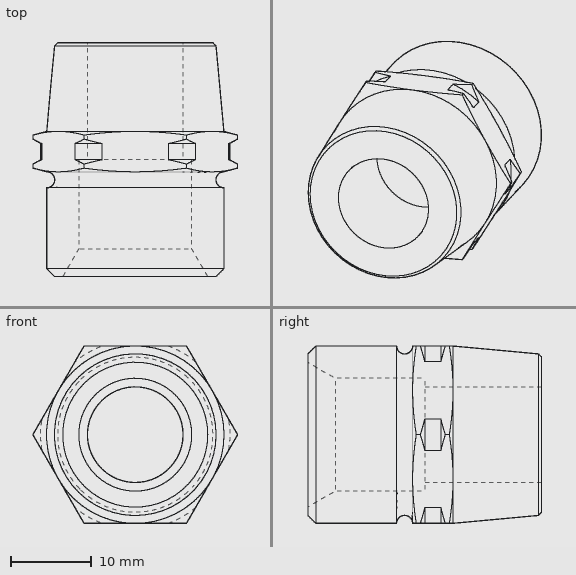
import cadquery as cq
import math

length = 29.0
body_radius = 22.0 / 2
end_chamfer = 1.0

hex_start = 13.0
hex_end = 18.0
hex_corner_radius = body_radius / math.cos(math.radians(30))
hex_chamfer_angle = 15.0
groove_width = 1.97
groove_start = hex_start - groove_width

taper_tip_radius = 10.03
tip_chamfer = 0.4

notch_floor_radius = 11.75
notch_floor_width = 2.0
notch_wall_angle = 30.0

bore_radius = 11.83 / 2
socket_radius = 14.0 / 2
seat_mouth_radius = 9.0
seat_half_angle = 30.0
seat_depth = (seat_mouth_radius - socket_radius) / math.tan(math.radians(seat_half_angle))
socket_end = 14.5

clearance = 1.45


def turn(profile):
    """Revolve a closed (radius, Y) profile about the Y axis."""
    return profile.close().revolve(360, (0, 0, 0), (0, 1, 0))


def make_body():
    groove_bottom = (body_radius - groove_width / 2, groove_start + groove_width / 2)
    profile = (
        cq.Workplane("XY")
        .moveTo(0, 0)
        .lineTo(body_radius - end_chamfer, 0)
        .lineTo(body_radius, end_chamfer)
        .lineTo(body_radius, groove_start)
        .threePointArc(groove_bottom, (body_radius, hex_start))
        .lineTo(body_radius, hex_end)
        .lineTo(taper_tip_radius, length - tip_chamfer)
        .lineTo(taper_tip_radius - tip_chamfer, length)
        .lineTo(0, length)
    )
    return turn(profile)


def make_chamfer_envelope():
    """Turned blank whose conical faces chamfer the hexagon corners."""
    outer_radius = hex_corner_radius + clearance
    drop = (outer_radius - body_radius) * math.tan(math.radians(hex_chamfer_angle))
    profile = (
        cq.Workplane("XY")
        .moveTo(0, hex_start)
        .lineTo(body_radius, hex_start)
        .lineTo(outer_radius, hex_start + drop)
        .lineTo(outer_radius, hex_end - drop)
        .lineTo(body_radius, hex_end)
        .lineTo(0, hex_end)
    )
    return turn(profile)


def make_notch_ring():
    """Ring with a trapezoidal section, wider towards the outside."""
    outer_radius = hex_corner_radius + clearance
    middle = (hex_start + hex_end) / 2
    floor_half = notch_floor_width / 2
    spread = (outer_radius - notch_floor_radius) * math.tan(math.radians(notch_wall_angle))
    mouth_half = floor_half + spread
    profile = (
        cq.Workplane("XY")
        .moveTo(notch_floor_radius, middle - floor_half)
        .lineTo(outer_radius, middle - mouth_half)
        .lineTo(outer_radius, middle + mouth_half)
        .lineTo(notch_floor_radius, middle + floor_half)
    )
    return turn(profile)


def make_hexagon():
    prism = (
        cq.Workplane("XZ", origin=(0, hex_start, 0))
        .polygon(6, 2 * hex_corner_radius)
        .extrude(hex_start - hex_end)
    )
    return prism.intersect(make_chamfer_envelope()).cut(make_notch_ring())


def make_bore():
    profile = (
        cq.Workplane("XY")
        .moveTo(0, 0)
        .lineTo(seat_mouth_radius, 0)
        .lineTo(socket_radius, seat_depth)
        .lineTo(socket_radius, socket_end)
        .lineTo(bore_radius, socket_end)
        .lineTo(bore_radius, length)
        .lineTo(0, length)
    )
    return turn(profile)


result = make_body().union(make_hexagon()).cut(make_bore())